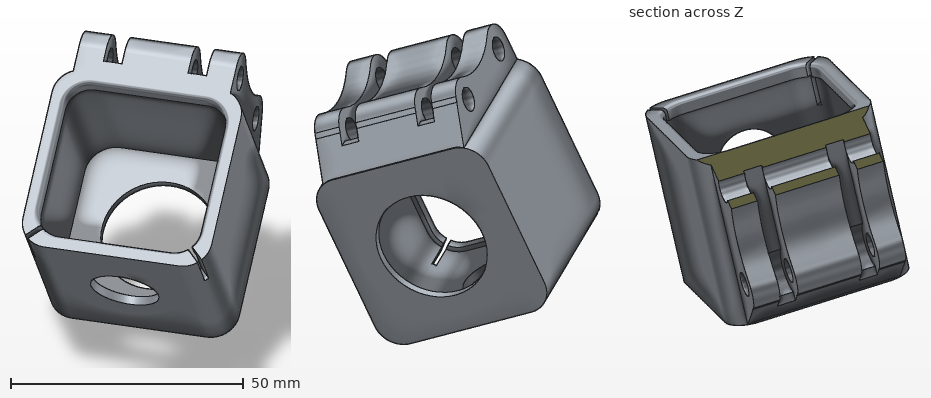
import cadquery as cq
import math

tilt_angle = 36

sleeve_width = 42.0
sleeve_depth = 41.8
sleeve_height = 39.0
outer_corner_radius = 6
wall = 2.0
cavity_corner_radius = 6.6
lip_height = 2.95
lip_thickness = 3.1
lip_corner_radius = cavity_corner_radius + wall - lip_thickness
mouth_fillet = 0.95

front_hole_diameter = 15.0
front_hole_height = 20.3
floor_hole_diameter = 25.0
slit_width = 1.0
slit_depth = 10.0

lug_width = 34.95
pin_diameter = 5.3
pin_spacing = 22.0
knuckle_wall = 3
knuckle_radius = pin_diameter / 2 + knuckle_wall
pin_standoff = 5.3
pin_y = sleeve_depth + pin_standoff
upper_pin_z = sleeve_height - knuckle_radius
lower_pin_z = upper_pin_z - pin_spacing
saddle_radius = 20.0
saddle_floor_y = 49.5
saddle_blend_radius = 5.0

slot_width = 4.1
slot_center_x = 9.4
slot_relief_radius = 5.0
slot_floor_y = pin_y - pin_diameter / 2

center_y = sleeve_depth / 2


def rounded_block(inset, corner_radius, bottom, top):
    """Block inset from the sleeve's outer sides, with rounded vertical corners."""
    return (
        cq.Workplane("XY", origin=(0, center_y, bottom))
        .rect(sleeve_width - 2 * inset, sleeve_depth - 2 * inset)
        .extrude(top - bottom)
        .edges("|Z")
        .fillet(corner_radius)
    )


def x_prism(sketch, width, x_center=0):
    """Extrude a YZ sketch symmetrically about the plane x = x_center."""
    return sketch.extrude(width / 2, both=True).translate((x_center, 0, 0))


def polar_point(center, radius, angle):
    """Point at an angle (radians, measured from +Y towards +Z) on a YZ circle."""
    return (center[0] + radius * math.cos(angle), center[1] + radius * math.sin(angle))


def make_sleeve():
    """Outer block, open at the top, with its mouth narrowed by a rounded lip."""
    lip_bottom = sleeve_height - lip_height
    cavity = rounded_block(wall, cavity_corner_radius, wall, lip_bottom)
    mouth = rounded_block(lip_thickness, lip_corner_radius, lip_bottom, sleeve_height)
    sleeve = rounded_block(0, outer_corner_radius, 0, sleeve_height).cut(mouth)
    margin = lip_thickness / 2
    inside_mouth = cq.selectors.BoxSelector(
        (-sleeve_width / 2 + margin, margin, sleeve_height - margin),
        (sleeve_width / 2 - margin, sleeve_depth - margin, sleeve_height + margin),
        boundingbox=True,
    )
    return sleeve.edges(inside_mouth).fillet(mouth_fillet).cut(cavity)


def make_lug():
    """Two pin knuckles joined by a concave saddle, with a sloped underside."""
    upper_pin = (pin_y, upper_pin_z)
    lower_pin = (pin_y, lower_pin_z)
    middle_z = (upper_pin_z + lower_pin_z) / 2
    saddle_center_y = saddle_floor_y + saddle_radius

    pin_to_blend = knuckle_radius - saddle_blend_radius
    saddle_to_blend = saddle_radius + saddle_blend_radius
    pin_to_saddle = math.hypot(saddle_center_y - pin_y, pin_spacing / 2)
    saddle_direction = math.atan2(-pin_spacing / 2, saddle_center_y - pin_y)
    blend_direction = saddle_direction + math.acos(
        (pin_to_blend**2 + pin_to_saddle**2 - saddle_to_blend**2) / (2 * pin_to_blend * pin_to_saddle)
    )
    blend_center = polar_point(upper_pin, pin_to_blend, blend_direction)
    blend_end = math.atan2(middle_z - blend_center[1], saddle_center_y - blend_center[0])

    def mirrored(point):
        return (point[0], 2 * middle_z - point[1])

    blend_start_point = polar_point(blend_center, saddle_blend_radius, blend_direction)
    blend_middle_point = polar_point(blend_center, saddle_blend_radius, (blend_direction + blend_end) / 2)
    blend_end_point = polar_point(blend_center, saddle_blend_radius, blend_end)
    crown_middle_point = polar_point(upper_pin, knuckle_radius, (math.pi / 2 + blend_direction) / 2)

    corner_offset = lug_width / 2 - (sleeve_width / 2 - outer_corner_radius)
    foot_y = sleeve_depth - outer_corner_radius + math.sqrt(outer_corner_radius**2 - corner_offset**2)
    foot_distance = math.hypot(foot_y - pin_y, lower_pin_z)
    foot_direction = math.atan2(-lower_pin_z, foot_y - pin_y)
    slope_angle = foot_direction + math.acos(knuckle_radius / foot_distance)
    slope_end = polar_point(lower_pin, knuckle_radius, slope_angle)
    heel_middle_point = polar_point(lower_pin, knuckle_radius, (slope_angle - blend_direction) / 2)

    root_y = sleeve_depth - wall / 2
    outline = (
        cq.Workplane("YZ")
        .moveTo(root_y, 0)
        .lineTo(foot_y, 0)
        .lineTo(*slope_end)
        .threePointArc(heel_middle_point, mirrored(blend_start_point))
        .threePointArc(mirrored(blend_middle_point), mirrored(blend_end_point))
        .threePointArc((saddle_floor_y, middle_z), blend_end_point)
        .threePointArc(blend_middle_point, blend_start_point)
        .threePointArc(crown_middle_point, (pin_y, sleeve_height))
        .lineTo(root_y, sleeve_height)
        .close()
    )
    pins = cq.Workplane("YZ").pushPoints([upper_pin, lower_pin]).circle(pin_diameter / 2)
    return x_prism(outline, lug_width).cut(x_prism(pins, lug_width))


def make_lug_slot(x_center):
    """Stepped slot with a round relief about the lower pin."""
    outside_y = pin_y + 2 * knuckle_radius
    step = (
        cq.Workplane("YZ")
        .moveTo(slot_floor_y, lower_pin_z)
        .lineTo(pin_y, lower_pin_z)
        .lineTo(pin_y, 0)
        .lineTo(outside_y, 0)
        .lineTo(outside_y, sleeve_height)
        .lineTo(slot_floor_y, sleeve_height)
        .close()
    )
    relief = cq.Workplane("YZ").center(pin_y, lower_pin_z).circle(slot_relief_radius)
    return x_prism(step, slot_width, x_center).union(x_prism(relief, slot_width, x_center))


def make_corner_slit(side):
    """Diagonal slit through a front corner of the mouth; side is -1 or +1."""
    corner_x = side * (sleeve_width / 2 - outer_corner_radius)
    length = 2 * outer_corner_radius
    return (
        cq.Workplane("XY")
        .box(length, slit_width, slit_depth, centered=(False, True, False))
        .rotate((0, 0, 0), (0, 0, 1), -90 + 45 * side)
        .translate((corner_x, outer_corner_radius, sleeve_height - slit_depth))
    )


front_hole = (
    cq.Workplane("XZ", origin=(0, 0, front_hole_height))
    .circle(front_hole_diameter / 2)
    .extrude(-center_y)
)
floor_hole = (
    cq.Workplane("XY", origin=(0, center_y, 0))
    .circle(floor_hole_diameter / 2)
    .extrude(wall)
)

bracket = make_sleeve().union(make_lug()).cut(front_hole).cut(floor_hole)
for side in (-1, 1):
    bracket = bracket.cut(make_lug_slot(side * slot_center_x))
    bracket = bracket.cut(make_corner_slit(side))

result = bracket.rotate((0, 0, 0), (1, 0, 0), tilt_angle)